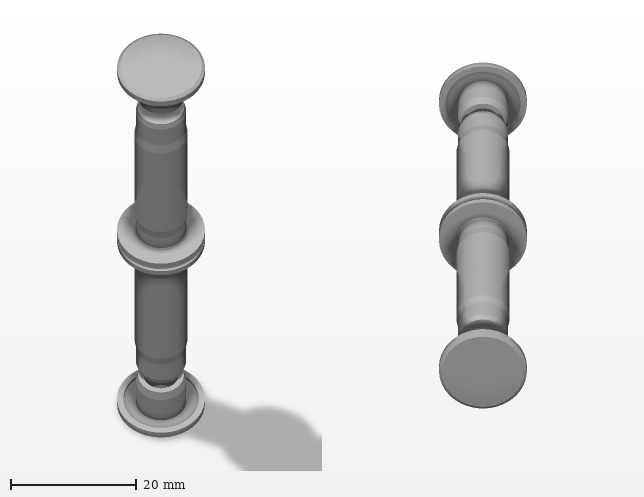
import cadquery as cq

total_length = 85.0
half_length = total_length / 2
flange_radius = 14.0 / 2

cap_flange_thickness = 1.5
cap_edge_chamfer_height = 0.3
cap_edge_chamfer_width = 0.5
cap_stem_radius = 8.0 / 2
cap_stem_length = 6.0
cap_tip_radius = 7.3 / 2
cap_tip_taper = 1.5
cap_bore_radius = 5.6 / 2
cap_groove_radius = 12.0 / 2
cap_groove_depth = 0.5

rod_radius = 8.5 / 2
rod_neck_radius = 8.0 / 2
rod_tip_radius = 7.5 / 2
rod_hole_radius = 2.0 / 2
rod_tip_z = 32.5
rod_tip_taper = 1.0
rod_neck_length = 3.9
rod_shoulder_taper = 1.8
rod_inner_neck_end = 4.25
rod_flange_top = 1.45
rod_flange_bottom = 0.7
rod_root_chamfer = 0.25

spool_gap = 0.85
spool_plate_thickness = rod_flange_bottom - spool_gap / 2
spool_neck_radius = 11.8 / 2



def revolve_profile(points):
    """Turn a closed (radius, height) outline about the Z axis."""
    return cq.Workplane("XZ").polyline(points).close().revolve(360, (0, 0, 0), (0, 1, 0))


def make_cap():
    """Upper cap: chamfered flange on top, bored stem pointing down, groove around the stem."""
    flange_bottom = half_length - cap_flange_thickness
    groove_bottom = flange_bottom + cap_groove_depth
    stem_end = flange_bottom - cap_stem_length
    return revolve_profile([
        (0, half_length),
        (flange_radius - cap_edge_chamfer_width, half_length),
        (flange_radius, half_length - cap_edge_chamfer_height),
        (flange_radius, flange_bottom),
        (cap_groove_radius, flange_bottom),
        (cap_groove_radius, groove_bottom),
        (cap_stem_radius, groove_bottom),
        (cap_stem_radius, stem_end + cap_tip_taper),
        (cap_tip_radius, stem_end),
        (cap_bore_radius, stem_end),
        (cap_bore_radius, flange_bottom),
        (0, flange_bottom),
    ])


def make_rod():
    """Upper rod: flange at the inner end, stepped shaft, tapered tip and a through hole."""
    outer_neck_top = rod_tip_z - rod_tip_taper
    outer_neck_bottom = outer_neck_top - rod_neck_length
    return revolve_profile([
        (rod_hole_radius, rod_flange_bottom),
        (flange_radius, rod_flange_bottom),
        (flange_radius, rod_flange_top),
        (rod_neck_radius + rod_root_chamfer, rod_flange_top),
        (rod_neck_radius, rod_flange_top + rod_root_chamfer),
        (rod_neck_radius, rod_inner_neck_end),
        (rod_radius, rod_inner_neck_end + rod_shoulder_taper),
        (rod_radius, outer_neck_bottom - rod_shoulder_taper),
        (rod_neck_radius, outer_neck_bottom),
        (rod_neck_radius, outer_neck_top),
        (rod_tip_radius, rod_tip_z),
        (rod_hole_radius, rod_tip_z),
    ])


def make_spool_half():
    """Lower plate of the spool between the rod flanges."""
    plate = cq.Workplane("XY").circle(flange_radius).extrude(spool_plate_thickness)
    return plate.translate((0, 0, -rod_flange_bottom))


def make_necked_spool_half():
    """Upper plate of the spool, with the neck that reaches down to the lower plate."""
    plate = make_spool_half().mirror("XY")
    neck = cq.Workplane("XY").circle(spool_neck_radius).extrude(spool_gap)
    neck = neck.translate((0, 0, -spool_gap / 2))
    return plate.union(neck)


bodies = [make_necked_spool_half().val(), make_spool_half().val()]
for make_body in (make_cap, make_rod):
    upper_body = make_body()
    lower_body = upper_body.mirror("XY")
    bodies.append(upper_body.val())
    bodies.append(lower_body.val())

result = cq.Compound.makeCompound(bodies)